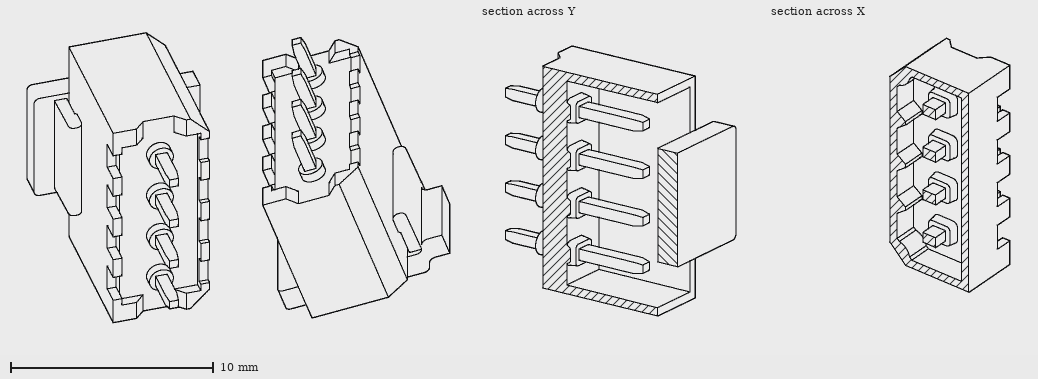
import cadquery as cq
import math


PIN_COUNT = 4
PITCH = 2.5
PIN_ZS = [(i - (PIN_COUNT - 1) / 2) * PITCH for i in range(PIN_COUNT)]

LENGTH = 7.48
WIDTH = 5.0
HEIGHT = 11.7
EDGE_CHAMFER = 1.0

WALL = 0.46
CAVITY_DEPTH = 5.5
CAVITY_DRAFT = 0.35
CAVITY_HALF_WIDTH = WIDTH / 2 - WALL
CAVITY_HALF_HEIGHT = HEIGHT / 2 - WALL
BUMP_RADIUS = 0.81
BUMP_FOOT = 0.94
BUMP_FOOT_ANGLE = math.radians(11)

RIB_SETBACK = 0.5
RIB_RISE = 0.55
RIB_BASE_HALF = 0.51
RIB_TIP_HALF = 0.1

RECESS_DEPTH = 0.49
SIDE_RIM = WALL
END_RIM = 1.0
RECESS_DRAFT = 2
END_GAP_HALF = 0.8
NOTCH_WIDTH = 1.4
DEEP_NOTCH = 1.0
SHALLOW_NOTCH = 0.25

BLADE_SETBACK = 1.2
BLADE_SIZE = (0.8, 0.6)
BLADE_TIP_SIZE = (0.57, 0.45)
TAIL_PROJECTION = 2.12
TAIL_SIZE = (0.6, 0.6)
TAIL_TIP_SIZE = (0.46, 0.46)
TIP_LENGTH = 0.5
COLLAR_RADIUS = 0.62
BOSS_SIZE = (1.5, 1.3)
BOSS_CORNER = 0.3
BOSS_HEIGHT = 0.5
BOSS_DRAFT = 9

CAP_THICKNESS = 1.2
CAP_HEIGHT = 6.0
CAP_OVERHANG = 1.8
CAP_CORNER = 0.3
TAB_LENGTH = 1.05
TAB_HEIGHT = 4.0

CLIP_LENGTH = 2.48
CLIP_GAP = 0.1
CLIP_BASE_OUTER = 0.75
CLIP_END_OUTER = 0.7
CLIP_PAD_START = 1.3
CLIP_OUTER_ROUND = 0.25
CLIP_INNER_ROUND = 0.35
CLIP_HEIGHT = CAP_HEIGHT - 2 * CAP_CORNER


def outer_block():
    block = cq.Workplane("XY").box(LENGTH, WIDTH, HEIGHT, centered=(False, True, True))
    return block.faces(">Y").edges("|X").chamfer(EDGE_CHAMFER)


def cavity():
    """Rectangular pocket whose two +Y corners are filled by round bumps."""
    y = CAVITY_HALF_WIDTH
    z = CAVITY_HALF_HEIGHT
    near = BUMP_RADIUS * math.sin(BUMP_FOOT_ANGLE)
    far = BUMP_RADIUS * math.cos(BUMP_FOOT_ANGLE)
    middle = BUMP_RADIUS * math.sqrt(0.5)
    outline = (
        cq.Workplane("YZ")
        .moveTo(-y, -z)
        .lineTo(y - BUMP_FOOT, -z)
        .lineTo(y - far, -z + near)
        .threePointArc((y - middle, -z + middle), (y - near, -z + far))
        .lineTo(y, -z + BUMP_FOOT)
        .lineTo(y, z - BUMP_FOOT)
        .lineTo(y - near, z - far)
        .threePointArc((y - middle, z - middle), (y - far, z - near))
        .lineTo(y - BUMP_FOOT, z)
        .lineTo(-y, z)
        .close()
    )
    return outline.extrude(CAVITY_DEPTH, taper=CAVITY_DRAFT)


def coding_rib(z):
    base_y = CAVITY_HALF_WIDTH
    tip_y = base_y - RIB_RISE
    profile = [
        (base_y, z - RIB_BASE_HALF),
        (tip_y, z - RIB_TIP_HALF),
        (tip_y, z + RIB_TIP_HALF),
        (base_y, z + RIB_BASE_HALF),
    ]
    start = cq.Workplane("YZ", origin=(RIB_SETBACK, 0, 0))
    return start.polyline(profile).close().extrude(CAVITY_DEPTH - RIB_SETBACK)


def back_recess():
    """Drafted pocket in the back, widest at its mouth."""
    width = WIDTH - 2 * SIDE_RIM
    height = HEIGHT - 2 * END_RIM
    mouth = cq.Workplane("YZ", origin=(LENGTH, 0, 0)).rect(width, height)
    return mouth.extrude(-RECESS_DEPTH, taper=RECESS_DRAFT)


def end_gaps():
    """Gap with 45 degree sides through the rim at both ends of the row, down to the recess floor."""
    mouth_half = END_GAP_HALF + RECESS_DEPTH
    profile = [
        (LENGTH, -mouth_half),
        (LENGTH - RECESS_DEPTH, -END_GAP_HALF),
        (LENGTH - RECESS_DEPTH, END_GAP_HALF),
        (LENGTH, mouth_half),
    ]
    return cq.Workplane("XY").polyline(profile).close().extrude(HEIGHT / 2, both=True)


def back_notch(z):
    """Notch through both side rims, deeper on the -Y side, where its inner face leans."""
    recess_floor = LENGTH - RECESS_DEPTH
    inner_y = -WIDTH / 2 + SIDE_RIM
    lean = RECESS_DEPTH * math.tan(math.radians(RECESS_DRAFT))
    profile = [
        (LENGTH, -WIDTH / 2),
        (LENGTH - DEEP_NOTCH, -WIDTH / 2),
        (LENGTH - DEEP_NOTCH, inner_y),
        (recess_floor, inner_y + lean),
        (LENGTH - SHALLOW_NOTCH, inner_y + lean),
        (LENGTH - SHALLOW_NOTCH, WIDTH / 2),
        (LENGTH, WIDTH / 2),
    ]
    start = cq.Workplane("XY", origin=(0, 0, z))
    return start.polyline(profile).close().extrude(NOTCH_WIDTH / 2, both=True)


def bar(start_x, end_x, start_size, end_size, z):
    """Rectangular bar along X that changes evenly from one section to the other."""
    start = cq.Workplane("YZ", origin=(start_x, 0, z)).rect(*start_size)
    return start.workplane(offset=end_x - start_x).rect(*end_size).loft(ruled=True)


def pin(z):
    """Blade in the cavity with the boss at its foot, then the collar and tail behind the back."""
    blade_shoulder = BLADE_SETBACK + TIP_LENGTH
    recess_floor = LENGTH - RECESS_DEPTH
    tail_end = LENGTH + TAIL_PROJECTION
    tail_shoulder = tail_end - TIP_LENGTH

    blade_tip = bar(BLADE_SETBACK, blade_shoulder, BLADE_TIP_SIZE, BLADE_SIZE, z)
    blade = bar(blade_shoulder, CAVITY_DEPTH, BLADE_SIZE, BLADE_SIZE, z)
    foot = cq.Plane(origin=(CAVITY_DEPTH, 0, z), xDir=(0, -1, 0), normal=(-1, 0, 0))
    boss_outline = cq.Sketch().rect(*BOSS_SIZE).vertices().fillet(BOSS_CORNER)
    boss = cq.Workplane(foot).placeSketch(boss_outline).extrude(BOSS_HEIGHT, taper=BOSS_DRAFT)
    collar = cq.Workplane("YZ", origin=(recess_floor, 0, z)).circle(COLLAR_RADIUS).extrude(RECESS_DEPTH)
    tail = bar(recess_floor, tail_shoulder, TAIL_SIZE, TAIL_SIZE, z)
    tail_tip = bar(tail_shoulder, tail_end, TAIL_SIZE, TAIL_TIP_SIZE, z)
    return blade.union(blade_tip).union(boss).union(collar).union(tail).union(tail_tip)


def make_header():
    header = outer_block().cut(cavity()).cut(back_recess()).cut(end_gaps())
    for z in PIN_ZS:
        header = header.cut(back_notch(z))
    for z in PIN_ZS[:-1]:
        header = header.union(coding_rib(z + PITCH / 2))
    for z in PIN_ZS:
        header = header.union(pin(z))
    return header


def cap_plate():
    """Plate over the mouth, with a narrower tab along its +Y side."""
    edge_y = WIDTH / 2 + CAP_OVERHANG
    main_width = 2 * edge_y - TAB_LENGTH
    main = (
        cq.Workplane("XY")
        .box(CAP_THICKNESS, main_width, CAP_HEIGHT)
        .edges("|X")
        .fillet(CAP_CORNER)
        .translate((-CAP_THICKNESS / 2, -TAB_LENGTH / 2, 0))
    )
    tab = (
        cq.Workplane("XY")
        .box(CAP_THICKNESS, edge_y, TAB_HEIGHT)
        .translate((-CAP_THICKNESS / 2, edge_y / 2, 0))
    )
    root_y = edge_y - TAB_LENGTH
    margin = CAP_CORNER / 2
    inner_corners = cq.selectors.BoxSelector(
        (-CAP_THICKNESS, root_y - margin, -TAB_HEIGHT / 2 - margin),
        (0, root_y + margin, TAB_HEIGHT / 2 + margin),
    )
    return main.union(tab).edges("|X").edges(inner_corners).fillet(CAP_CORNER)


def clip():
    """Arm along the +Y side of the shroud, clear of it at the root and touching it at the end."""
    side_y = WIDTH / 2
    profile = [
        (0, side_y + CLIP_GAP),
        (CLIP_PAD_START, side_y + CLIP_GAP),
        (CLIP_PAD_START + CLIP_GAP, side_y),
        (CLIP_LENGTH, side_y),
        (CLIP_LENGTH, side_y + CLIP_END_OUTER),
        (0, side_y + CLIP_BASE_OUTER),
    ]
    arm = cq.Workplane("XY").polyline(profile).close().extrude(CLIP_HEIGHT / 2, both=True)
    arm = arm.faces(">X").edges(">Y").fillet(CLIP_OUTER_ROUND)
    return arm.faces(">X").edges("<Y").fillet(CLIP_INNER_ROUND)


def make_cap():
    arm = clip()
    return cap_plate().union(arm).union(arm.mirror("XZ"))


header = make_header()
cap = make_cap()

result = cq.Compound.makeCompound([header.val(), cap.val()])